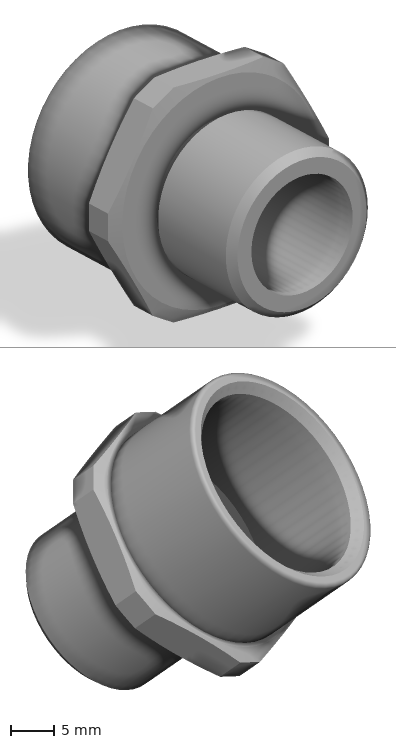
import cadquery as cq
import math

total_length = 33.5
socket_length = 14.0
hex_width = 4.5
neck_length = 1.5
hex_end = socket_length + hex_width
neck_end = hex_end + neck_length

socket_radius = 14.05
rim_fillet = 0.5

across_flats = 30.0
across_corners = 32.63
hex_face_radius = 14.57
hex_bevel_angle = 15.0

spigot_radius = 10.5
spigot_chamfer = 0.97
neck_radius = spigot_radius - spigot_chamfer

bore_radius = 11.65
bore_depth = 16.0
mouth_chamfer = 1.07
through_radius = 7.47


def cylinder(start, length, radius):
    """Solid cylinder along +X, beginning at x = start."""
    return cq.Workplane("YZ", origin=(start, 0, 0)).circle(radius).extrude(length)


def hex_prism(flat_distance):
    """Hexagonal prism filling the collar width, with corners on the Y axis."""
    corner_diameter = flat_distance / math.cos(math.pi / 6)
    plane = cq.Workplane("YZ", origin=(socket_length, 0, 0))
    return plane.polygon(6, corner_diameter).extrude(hex_width)


def hex_collar():
    """Hexagon with trimmed corners and a shallow conical bevel at both ends."""
    corner_trim = hex_prism(across_corners).rotate((0, 0, 0), (1, 0, 0), 30)
    collar = hex_prism(across_flats).intersect(corner_trim)

    outer_radius = across_corners / 2 / math.cos(math.pi / 6)
    bevel_length = (outer_radius - hex_face_radius) * math.tan(math.radians(hex_bevel_angle))
    envelope = (
        cq.Workplane("XY")
        .moveTo(socket_length, 0)
        .lineTo(socket_length, hex_face_radius)
        .lineTo(socket_length + bevel_length, outer_radius)
        .lineTo(hex_end - bevel_length, outer_radius)
        .lineTo(hex_end, hex_face_radius)
        .lineTo(hex_end, 0)
        .close()
        .revolve(360, (0, 0, 0), (1, 0, 0))
    )
    return collar.intersect(envelope)


def spigot():
    """Spigot with a chamfered tip, joined to the collar by a narrower neck."""
    thread = cylinder(neck_end, total_length - neck_end, spigot_radius)
    thread = thread.faces(">X").edges().chamfer(spigot_chamfer)
    return cylinder(hex_end, neck_length, neck_radius).union(thread)


def bores():
    """Stepped bore: wide socket with a conical mouth, then a narrower through hole."""
    socket_bore = cylinder(0, bore_depth, bore_radius)
    through_hole = cylinder(0, total_length, through_radius)
    mouth = (
        cq.Workplane("YZ")
        .circle(bore_radius + mouth_chamfer)
        .workplane(offset=mouth_chamfer)
        .circle(bore_radius)
        .loft()
    )
    return socket_bore.union(through_hole).union(mouth)


socket = cylinder(0, socket_length, socket_radius).faces("<X").edges().fillet(rim_fillet)
result = socket.union(hex_collar()).union(spigot()).cut(bores())